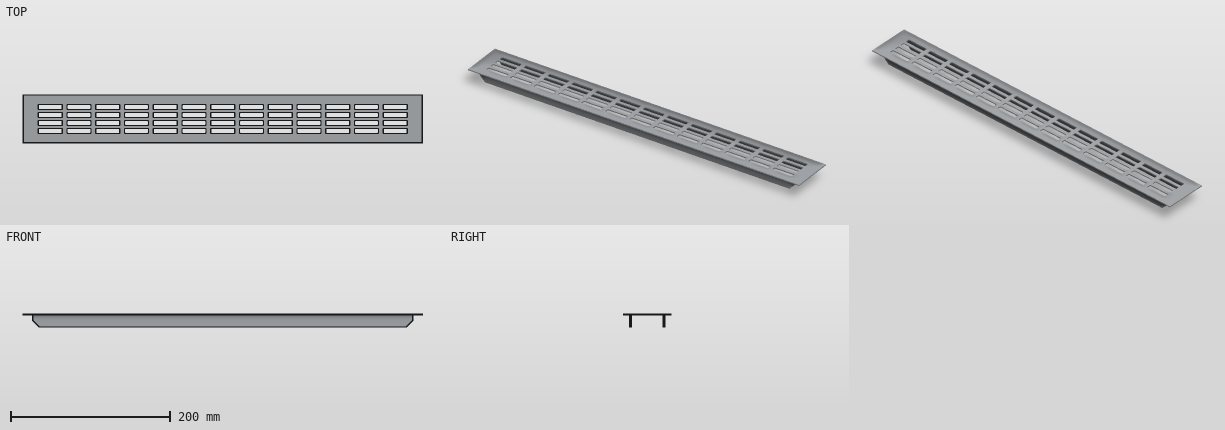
import cadquery as cq

PLATE_LENGTH = 500.0
PLATE_WIDTH = 60.0
PLATE_THICKNESS = 1.5

LEG_END_INSET = 12.0
LEG_LENGTH = PLATE_LENGTH - 2 * LEG_END_INSET
LEG_HEIGHT = 15.0
LEG_THICKNESS = 2.0
LEG_OFFSET = 21.0
LEG_BEVEL = 8.0

SLOT_LENGTH = 30.0
SLOT_WIDTH = 6.0
SLOT_CORNER_RADIUS = 1.0
SLOT_COLUMNS = 13
SLOT_ROWS = 4
COLUMN_PITCH = 36.0
ROW_PITCH = 10.0


def cover_plate():
    return cq.Workplane("XY").rect(PLATE_LENGTH, PLATE_WIDTH).extrude(PLATE_THICKNESS)


def ventilation_slots():
    """Rounded rectangular cutters through the full plate thickness."""
    return (
        cq.Workplane("XY")
        .rarray(COLUMN_PITCH, ROW_PITCH, SLOT_COLUMNS, SLOT_ROWS)
        .rect(SLOT_LENGTH, SLOT_WIDTH)
        .extrude(PLATE_THICKNESS)
        .edges("|Z")
        .fillet(SLOT_CORNER_RADIUS)
    )


def leg(center_y):
    """Upright strip hanging from the plate underside, bevelled at both lower ends."""
    strip = (
        cq.Workplane("XY")
        .box(LEG_LENGTH, LEG_THICKNESS, LEG_HEIGHT, centered=(True, True, False))
        .faces("<Z")
        .edges("|Y")
        .chamfer(LEG_BEVEL)
    )
    return strip.translate((0, center_y, -LEG_HEIGHT))


result = cover_plate().cut(ventilation_slots())
for side in (-1, 1):
    result = result.union(leg(side * LEG_OFFSET))